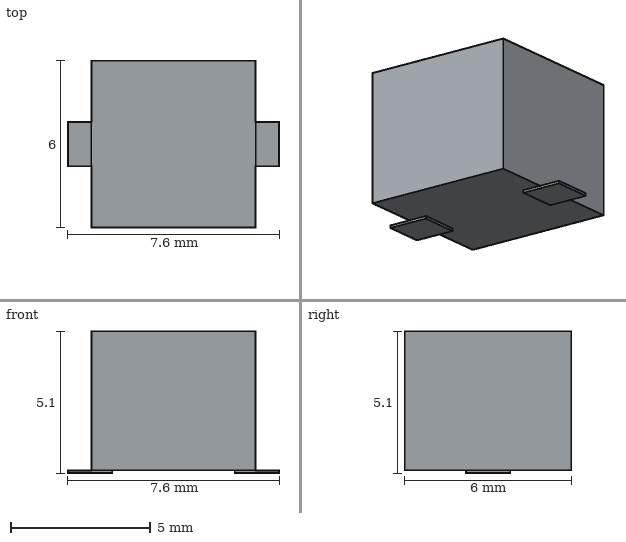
import cadquery as cq

body_length = 5.9
body_width = 6.0
body_height = 5.0

terminal_span = 7.6
terminal_length = 1.6
terminal_width = 1.6
terminal_thickness = 0.1

FROM_BOTTOM = (True, True, False)


def make_body():
    """Plain block whose underside sits on the top faces of the terminals."""
    return (
        cq.Workplane("XY")
        .workplane(offset=terminal_thickness)
        .box(body_length, body_width, body_height, centered=FROM_BOTTOM)
    )


def make_terminal(side):
    """Flat pad under one X end of the body; side is -1 or +1."""
    center_x = side * (terminal_span - terminal_length) / 2
    return (
        cq.Workplane("XY")
        .center(center_x, 0)
        .box(terminal_length, terminal_width, terminal_thickness, centered=FROM_BOTTOM)
    )


body = make_body()
terminals = [make_terminal(side) for side in (-1, 1)]

result = cq.Compound.makeCompound([body.val(), *[terminal.val() for terminal in terminals]])